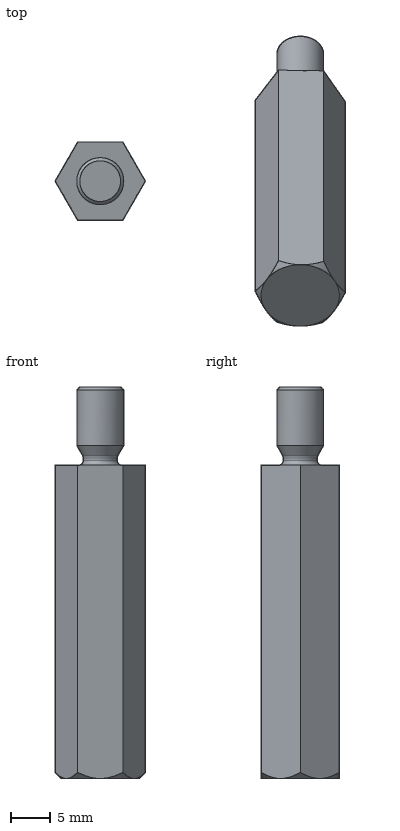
import cadquery as cq
import math

across_flats = 10.0
across_corners = across_flats / math.cos(math.radians(30))
body_length = 40.0
base_circle_diameter = across_flats
corner_chamfer_angle = 45.0

stud_diameter = 6.0
stud_length = 10.0
tip_chamfer = 0.4

neck_diameter = 4.38
undercut_length = 2.5
undercut_cone_angle = 30.0
undercut_radius = 0.6


def make_hex_body():
    """Hexagonal bar whose corners are turned down conically at the bottom."""
    bar = cq.Workplane("XY").polygon(6, across_corners).extrude(body_length)

    base_radius = base_circle_diameter / 2
    corner_radius = across_corners / 2
    chamfer_height = (corner_radius - base_radius) * math.tan(math.radians(corner_chamfer_angle))
    turned_envelope = (
        cq.Workplane("XZ")
        .lineTo(base_radius, 0)
        .lineTo(corner_radius, chamfer_height)
        .lineTo(corner_radius, body_length)
        .lineTo(0, body_length)
        .close()
        .revolve(360, (0, 0, 0), (0, 1, 0))
    )
    return bar.intersect(turned_envelope)


def make_stud():
    """Round stud with a chamfered tip and a filleted undercut at its root."""
    root_z = body_length
    tip_z = body_length + stud_length
    stud_radius = stud_diameter / 2
    neck_radius = neck_diameter / 2
    cone_angle = math.radians(undercut_cone_angle)

    arc_center_r = neck_radius + undercut_radius
    root_arc_top_z = root_z + undercut_radius
    root_arc_mid_r = arc_center_r - undercut_radius * math.cos(math.radians(45))
    root_arc_mid_z = root_arc_top_z - undercut_radius * math.sin(math.radians(45))

    cone_top_z = root_z + undercut_length
    cone_foot_z = cone_top_z - (stud_radius - neck_radius) / math.tan(cone_angle)
    upper_arc_start_z = cone_foot_z - undercut_radius * math.tan(cone_angle / 2)
    upper_arc_mid_r = arc_center_r - undercut_radius * math.cos(cone_angle / 2)
    upper_arc_mid_z = upper_arc_start_z + undercut_radius * math.sin(cone_angle / 2)
    upper_arc_end_r = arc_center_r - undercut_radius * math.cos(cone_angle)
    upper_arc_end_z = upper_arc_start_z + undercut_radius * math.sin(cone_angle)

    return (
        cq.Workplane("XZ")
        .moveTo(0, root_z)
        .lineTo(arc_center_r, root_z)
        .threePointArc((root_arc_mid_r, root_arc_mid_z), (neck_radius, root_arc_top_z))
        .lineTo(neck_radius, upper_arc_start_z)
        .threePointArc((upper_arc_mid_r, upper_arc_mid_z), (upper_arc_end_r, upper_arc_end_z))
        .lineTo(stud_radius, cone_top_z)
        .lineTo(stud_radius, tip_z - tip_chamfer)
        .lineTo(stud_radius - tip_chamfer, tip_z)
        .lineTo(0, tip_z)
        .close()
        .revolve(360, (0, 0, 0), (0, 1, 0))
    )


result = make_hex_body().union(make_stud())